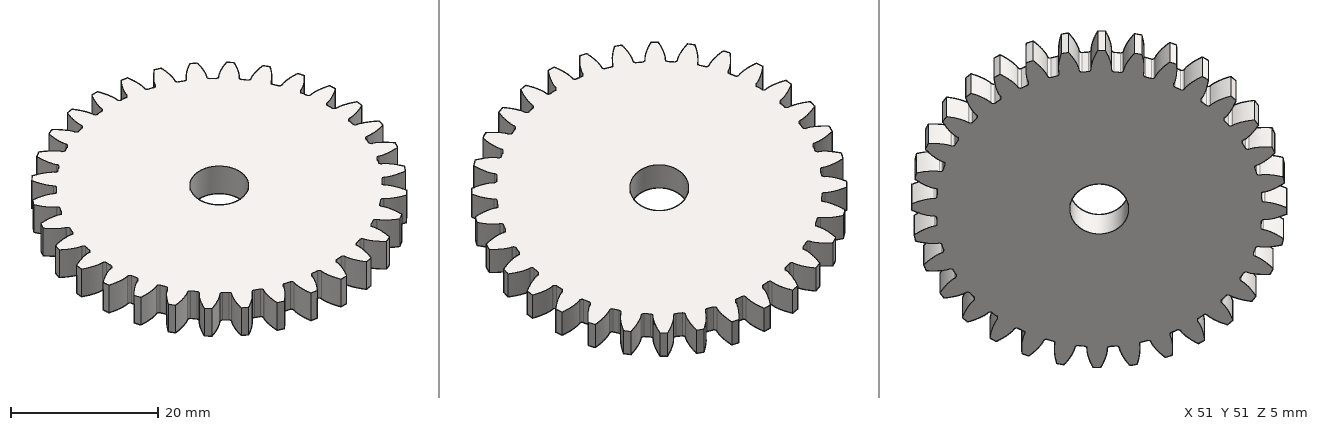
import cadquery as cq
import math

tip_diameter = 51.0
tooth_count = 32
pressure_angle = math.radians(20)
thickness = 5.0
bore_diameter = 8.0
root_fillet = 0.375
flank_relief = 0.04
dedendum_factor = 1.24
flank_point_count = 8

module = tip_diameter / (tooth_count + 2)
dedendum = dedendum_factor * module
tip_radius = tip_diameter / 2
pitch_radius = module * tooth_count / 2
base_radius = pitch_radius * math.cos(pressure_angle)
root_radius = pitch_radius - dedendum
tooth_pitch = 2 * math.pi / tooth_count


def polar(radius, angle):
    """Point at a radius and angle about the gear axis."""
    return (radius * math.cos(angle), radius * math.sin(angle))


def involute(radius):
    """Polar angle swept by the base-circle involute when it reaches a radius."""
    roll = math.sqrt(max((radius / base_radius) ** 2 - 1, 0))
    return roll - math.atan(roll)


def half_tooth_angle(radius):
    """Angle from the tooth centreline to its flank at a radius."""
    half_angle_at_pitch = tooth_pitch / 4 - flank_relief / pitch_radius
    return half_angle_at_pitch + involute(pitch_radius) - involute(radius)


def flank_points(centre, side):
    """Points of one involute flank from base to tip; side is -1 or +1."""
    step = (tip_radius - base_radius) / (flank_point_count - 1)
    radii = [base_radius + i * step for i in range(flank_point_count)]
    return [polar(r, centre + side * half_tooth_angle(r)) for r in radii]


def gear_outline():
    """Closed outline of all the teeth, on the bottom face of the gear."""
    half_base = half_tooth_angle(base_radius)
    outline = cq.Workplane("XY").workplane(offset=-thickness / 2)
    outline = outline.moveTo(*polar(root_radius, -half_base))
    for tooth in range(tooth_count):
        centre = tooth * tooth_pitch
        rising = flank_points(centre, -1)
        falling = flank_points(centre, 1)[::-1]
        outline = outline.lineTo(*rising[0]).spline(rising[1:], includeCurrent=True)
        outline = outline.threePointArc(polar(tip_radius, centre), falling[0])
        outline = outline.spline(falling[1:], includeCurrent=True)
        outline = outline.lineTo(*polar(root_radius, centre + half_base))
        gap_middle = polar(root_radius, centre + tooth_pitch / 2)
        gap_end = polar(root_radius, centre + tooth_pitch - half_base)
        outline = outline.threePointArc(gap_middle, gap_end)
    return outline.close()


def fillet_roots(gear):
    """Round the inner corners where the teeth meet the root cylinder."""
    limit = (root_radius + base_radius) / 2
    corners = gear.edges("|Z").filter(lambda e: math.hypot(e.Center().x, e.Center().y) < limit)
    return corners.fillet(root_fillet)


gear = fillet_roots(gear_outline().extrude(thickness))
bore = cq.Workplane("XY").circle(bore_diameter / 2).extrude(thickness, both=True)
result = gear.cut(bore)